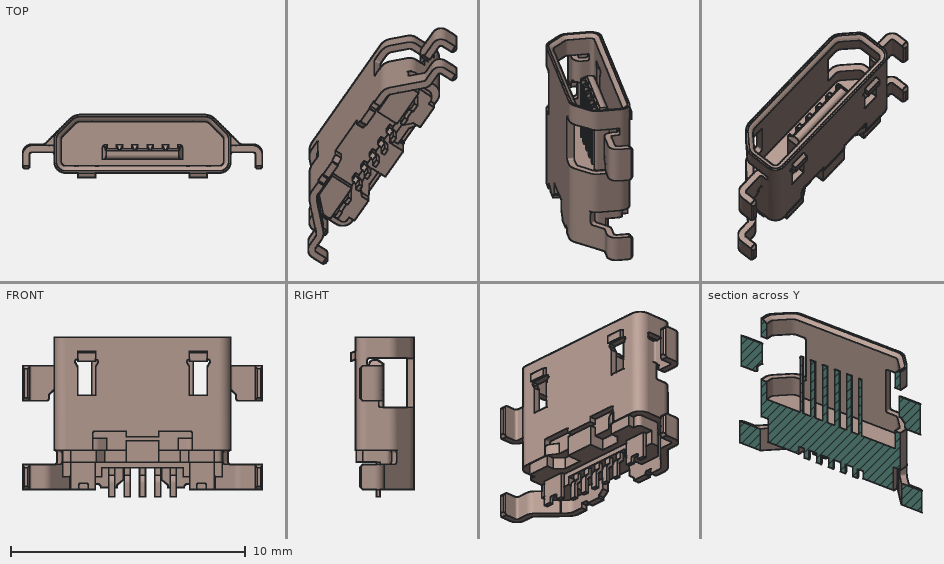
import cadquery as cq
import math

TOTAL_WIDTH = 10.2
TOTAL_HEIGHT = 6.8
SHELL_WIDTH = 7.53
SHELL_DEPTH = 2.5
SHELL_BOTTOM = 2.0
WALL = 0.31
CORNER_RADIUS = 0.5
BACK_CORNER_RADIUS = 0.66
BEVEL_SIDE_Y = 1.63
BACK_WALL_BOTTOM = 0.32

REACH = 2 * TOTAL_WIDTH
EXTRA = 0.1

half_shell = SHELL_WIDTH / 2
half_total = TOTAL_WIDTH / 2
bevel_back_x = half_shell - (SHELL_DEPTH - BEVEL_SIDE_Y)
inner_back_y = SHELL_DEPTH - WALL
outer_sum = half_shell + BEVEL_SIDE_Y
inner_sum = outer_sum - WALL * math.sqrt(2)
bevel_wall_x = bevel_back_x + 2 * EXTRA

RIM_FLAT = 0.09
LIP_MIDDLE_INSET = 0.21
LIP_UPPER_DROP = 0.07
LIP_LOWER_DROP = 0.08

WINDOW_BOTTOM = 3.81
WINDOW_TOP = 5.91
WINDOW_INNER_X = 2.16
WINDOW_FRONT_Y = 0.99
WINDOW_RELIEF_Y = 0.5
WINDOW_RADIUS = 0.09

LEG_THICKNESS = 0.3
LEG_TIP_Y = 0.18
LEG_BEND = 0.11
TIP_SIDE_CHAMFER = 0.07
TIP_END_CHAMFER = 0.13
UPPER_LEG_BOTTOM = 4.09
UPPER_LEG_TOP = 5.59
UPPER_LEG_BACK_Y = 1.18
UPPER_ROOT_BOTTOM = 4.57
UPPER_ROOT_BEND = 0.08
NECK_RUN = 0.21
NECK_RADIUS = 0.11
LOWER_LEG_TOP = 1.39
LOWER_LEG_BACK_Y = 1.23
LOWER_BEND_OUTER = 0.45
NOTCH_Y = 1.75
NOTCH_RADIUS = 0.13

BACK_GAP_HALF = 0.82
BACK_SLOPE_TOP = 0.72
BACK_FOOT_INNER_X = 1.08
BACK_FOOT_OUTER_X = 1.78
BACK_FOOT_BOTTOM = 0.4
BACK_FOOT_STEP = 0.11
BACK_CHAMFER = 0.07
BACK_STEP_X = 2.14

SLOT_X = 2.38
SLOT_WIDTH = 0.75
SLOT_BOTTOM = 4.34
SLOT_TOP = 5.84
EAR_WIDTH = 1.0
EAR_WIDEST_Z = 5.75
EAR_BOTTOM = 5.54
EAR_TAPER = 0.04
BARB_TIP_Y = -0.19
BARB_TIP_TOP = 6.13
BARB_HEIGHT = 0.36
BARB_SLOPE = 0.42

CUTOUT_HALF = 2.11
CUTOUT_TOP = 2.8
CUTOUT_CENTRE_TOP = 2.57
CUTOUT_RADIUS = 0.08

FLOOR_Z = 2.96
FLANGE_BOTTOM = 1.48
FLANGE_FRONT_Y = 0.03
FLANGE_HALF = 3.06
BODY_INSET = 0.37
BODY_FRONT_Y = 0.31
BODY_SHIFT = 0.08
BODY_RADIUS = 0.19
REAR_FRONT_Y = 1.05
REAR_BOTTOM = 0.87
REAR_CENTRE_HALF = 1.73
REAR_CENTRE_BOTTOM = 1.23
RECESS_INNER_HALF = 1.61
RECESS_OUTER_HALF = 1.98
RECESS_DEPTH_Y = 0.74
TAB_HALF = 0.69
TAB_TOP = 2.4
NUB_TOP = 2.5
NUB_INNER_X = 1.52
NUB_BEND_X = 1.87
NUB_BEND_Y = 0.08
NUB_ARC_X = 1.98
NUB_ARC_Y = 0.04
POST_INNER_X = 2.01
POST_FRONT_Y = 0.89
ARCH_X = 2.51
ARCH_WIDTH = 0.41
ARCH_TOP = 0.59
ARCH_RADIUS = 0.09

TONGUE_TOP = 5.83
TONGUE_HALF = 1.7
TONGUE_FRONT_Y = 0.58
TONGUE_BACK_Y = 1.2
TONGUE_FRONT_RADIUS = 0.2
TONGUE_END_RUN = 0.16
TONGUE_END_DROP = 0.27
TONGUE_FLAT_BACK_Y = 0.96
TONGUE_BACK_DROP = 0.17
TONGUE_SIDE_RADIUS = 0.12
GROOVE_Y = 1.03
GROOVE_LEAD = 0.1
CONTACT_COUNT = 5
CONTACT_PITCH = 0.65
GROOVE_WIDTH = 0.39
RIDGE_HALF = 0.02
PIN_WIDTH = 0.27
PIN_THICKNESS = 0.16
PIN_JOG = 0.18
PIN_JOG_TOP = 0.93
PIN_BEND = 0.35


def box(x0, x1, y0, y1, z0, z1):
    return cq.Workplane("XY").box(x1 - x0, y1 - y0, z1 - z0, centered=False).translate((x0, y0, z0))


def mirrored(solid):
    """The solid together with its mirror image across X = 0."""
    return solid.union(solid.mirror("YZ"))


def prism_y(outline_points, y0, y1):
    """A prism along Y over an outline of (x, z) points."""
    return cq.Workplane("XZ", origin=(0, y0, 0)).polyline(outline_points).close().extrude(y0 - y1)


def prism_x(outline_points, half_width):
    """A prism along X, centred on X = 0, over an outline of (y, z) points."""
    return cq.Workplane("YZ").polyline(outline_points).close().extrude(half_width, both=True)


def shell_prism(inset, z0, z1, front_y=None, radius=None):
    """Solid with the bevelled shell outline moved inward by `inset`, or by `front_y` at the front."""
    front = inset if front_y is None else front_y
    corner_shift = inset * math.tan(math.pi / 8)
    side = half_shell - inset
    side_y = BEVEL_SIDE_Y - corner_shift
    back_x = bevel_back_x - corner_shift
    back = SHELL_DEPTH - inset
    points = [(-side, front), (side, front), (side, side_y),
              (back_x, back), (-back_x, back), (-side, side_y)]
    prism = cq.Workplane("XY").workplane(offset=z0).polyline(points).close().extrude(z1 - z0)
    prism = prism.edges("|Z and >Y").fillet(radius or BACK_CORNER_RADIUS - inset)
    front_and_side = cq.selectors.BoxSelector((-REACH, -REACH, -REACH), (REACH, side_y + EXTRA, REACH))
    sharp_edges = prism.edges("|Z").edges(front_and_side)
    return sharp_edges.fillet(radius or CORNER_RADIUS - inset)


def lip_cutter(inset_top, inset_bottom, z_top, drop):
    """Funnel between two inset shell outlines."""
    upper = shell_prism(inset_top, z_top, z_top + EXTRA).faces("<Z").wires().val()
    lower = shell_prism(inset_bottom, z_top - drop, z_top).faces("<Z").wires().val()
    return cq.Workplane(cq.Solid.makeLoft([lower, upper], True))


def shell():
    """Bevelled tube with its lip, and the back wall that continues below it."""
    outer = shell_prism(0, BACK_WALL_BOTTOM, TOTAL_HEIGHT)
    inner = shell_prism(WALL, 0, TOTAL_HEIGHT)
    tube = outer.cut(inner)
    lip_middle = TOTAL_HEIGHT - LIP_UPPER_DROP
    tube = tube.cut(lip_cutter(RIM_FLAT, LIP_MIDDLE_INSET, TOTAL_HEIGHT, LIP_UPPER_DROP))
    tube = tube.cut(lip_cutter(LIP_MIDDLE_INSET, WALL, lip_middle, LIP_LOWER_DROP))
    front_clearance = box(-REACH, REACH, -EXTRA, inner_back_y - WALL, 0, SHELL_BOTTOM)
    side_clearance = mirrored(box(bevel_wall_x, REACH, -EXTRA, SHELL_DEPTH, 0, SHELL_BOTTOM))
    return tube.cut(front_clearance).cut(side_clearance)


def side_window():
    """Window through one side wall, bevel and back wall."""
    window = box(WINDOW_INNER_X, REACH, WINDOW_FRONT_Y, REACH, WINDOW_BOTTOM, WINDOW_TOP)
    window = window.edges("|Y and <X").fillet(WINDOW_RADIUS)
    window = window.edges("|X and <Y and <Z").fillet(WINDOW_RADIUS)
    relief = box(half_shell - WALL, REACH, WINDOW_RELIEF_Y, WINDOW_FRONT_Y + EXTRA, UPPER_LEG_TOP, WINDOW_TOP)
    root = box(half_shell - WALL, REACH, UPPER_LEG_BACK_Y - LEG_THICKNESS - UPPER_ROOT_BEND,
               WINDOW_FRONT_Y + EXTRA, UPPER_ROOT_BOTTOM, WINDOW_TOP)
    relief = relief.edges("|X and <Y").fillet(WINDOW_RADIUS)
    return window.union(relief).union(root)


def bend_edge(solid, x, y, z, radius):
    """Rounds the vertical edge whose middle is at (x, y, z)."""
    return solid.edges(cq.NearestToPointSelector((x, y, z))).fillet(radius)


def finish_tip(leg):
    """Chamfers the free end of a leg, in its thickness and in its height."""
    leg = leg.faces("<Y").edges("|Z").chamfer(TIP_SIDE_CHAMFER)
    return leg.faces("<Y").edges("|X").chamfer(TIP_END_CHAMFER)


def upper_leg():
    """Flap of the side wall, bent outward and then toward the front."""
    back = UPPER_LEG_BACK_Y
    front = back - LEG_THICKNESS
    root_y = front - UPPER_ROOT_BEND
    inner_x = half_shell - WALL
    tip_inner_x = half_total - LEG_THICKNESS
    outline = [(inner_x, root_y - EXTRA), (half_shell, root_y - EXTRA), (half_shell, front),
               (tip_inner_x, front), (tip_inner_x, LEG_TIP_Y), (half_total, LEG_TIP_Y),
               (half_total, back), (inner_x, back)]
    height = UPPER_LEG_TOP - UPPER_LEG_BOTTOM
    leg = cq.Workplane("XY", origin=(0, 0, UPPER_LEG_BOTTOM)).polyline(outline).close().extrude(height)
    middle_z = UPPER_LEG_BOTTOM + height / 2
    leg = bend_edge(leg, half_shell, front, middle_z, UPPER_ROOT_BEND)
    leg = bend_edge(leg, inner_x, back, middle_z, UPPER_ROOT_BEND + LEG_THICKNESS)
    leg = bend_edge(leg, tip_inner_x, front, middle_z, LEG_BEND)
    leg = bend_edge(leg, half_total, back, middle_z, LEG_BEND + LEG_THICKNESS)
    leg = finish_tip(leg)
    neck_x = half_shell + NECK_RUN
    shoulder = (
        cq.Workplane("XZ")
        .moveTo(inner_x - EXTRA, UPPER_LEG_BOTTOM - EXTRA)
        .lineTo(neck_x + NECK_RADIUS, UPPER_LEG_BOTTOM - EXTRA)
        .lineTo(neck_x + NECK_RADIUS, UPPER_LEG_BOTTOM)
        .radiusArc((neck_x, UPPER_LEG_BOTTOM + NECK_RADIUS), NECK_RADIUS)
        .lineTo(neck_x, UPPER_ROOT_BOTTOM - NECK_RUN)
        .lineTo(half_shell, UPPER_ROOT_BOTTOM)
        .lineTo(inner_x - EXTRA, UPPER_ROOT_BOTTOM)
        .close()
        .extrude(-SHELL_DEPTH)
    )
    return leg.cut(shoulder)


def lower_leg():
    """Continuation of the bevel wall, bent outward and then toward the front."""
    back = LOWER_LEG_BACK_Y
    front = back - LEG_THICKNESS
    tip_inner_x = half_total - LEG_THICKNESS
    start_x = bevel_wall_x
    outline = [(start_x, outer_sum - start_x), (outer_sum - back, back), (half_total, back),
               (half_total, LEG_TIP_Y), (tip_inner_x, LEG_TIP_Y), (tip_inner_x, front),
               (inner_sum - front, front), (start_x, inner_sum - start_x)]
    height = LOWER_LEG_TOP - BACK_WALL_BOTTOM
    middle_z = BACK_WALL_BOTTOM + height / 2
    leg = cq.Workplane("XY", origin=(0, 0, BACK_WALL_BOTTOM)).polyline(outline).close().extrude(height)
    leg = bend_edge(leg, outer_sum - back, back, middle_z, LOWER_BEND_OUTER - LEG_THICKNESS)
    leg = bend_edge(leg, inner_sum - front, front, middle_z, LOWER_BEND_OUTER)
    leg = bend_edge(leg, tip_inner_x, front, middle_z, LEG_BEND)
    leg = bend_edge(leg, half_total, back, middle_z, LEG_BEND + LEG_THICKNESS)
    return finish_tip(leg)


def bevel_wall():
    """Piece of bevel wall between the shell and the lower leg, ending in a round-cornered notch."""
    end_x = half_shell + EXTRA
    outline = [(bevel_wall_x, outer_sum - bevel_wall_x), (end_x, outer_sum - end_x),
               (end_x, inner_sum - end_x), (bevel_wall_x, inner_sum - bevel_wall_x)]
    wall = cq.Workplane("XY").polyline(outline).close().extrude(SHELL_BOTTOM - LOWER_LEG_TOP)
    return wall.translate((0, 0, LOWER_LEG_TOP)).cut(bevel_notch())


def bevel_notch():
    """Notch between the shell's lower edge and the lower leg, square to the bevel wall."""
    notch_x = half_shell + BEVEL_SIDE_Y - NOTCH_Y
    size = 2 * CORNER_RADIUS
    height = SHELL_BOTTOM - LOWER_LEG_TOP
    notch = cq.Workplane("XY").box(size, size, height, centered=(False, True, False))
    notch = notch.edges("|Y and <X").fillet(NOTCH_RADIUS)
    return notch.rotate((0, 0, 0), (0, 0, 1), -45).translate((notch_x, NOTCH_Y, LOWER_LEG_TOP))


def back_edge_cutter():
    """Removes the stepped lower edge of the back wall between the posts."""
    shoulder_z = BACK_FOOT_BOTTOM + BACK_FOOT_STEP
    half = [(0, REAR_CENTRE_BOTTOM), (BACK_GAP_HALF, REAR_CENTRE_BOTTOM), (BACK_GAP_HALF, BACK_SLOPE_TOP),
            (BACK_FOOT_INNER_X, shoulder_z), (BACK_FOOT_INNER_X, BACK_FOOT_BOTTOM),
            (BACK_FOOT_OUTER_X, BACK_FOOT_BOTTOM), (BACK_FOOT_OUTER_X, shoulder_z - BACK_CHAMFER / 2),
            (BACK_FOOT_OUTER_X + BACK_CHAMFER, shoulder_z + BACK_CHAMFER / 2),
            (BACK_STEP_X, shoulder_z + BACK_CHAMFER / 2), (BACK_STEP_X, 0), (0, 0)]
    return mirrored(prism_y(half, inner_back_y - EXTRA, SHELL_DEPTH + EXTRA))


def latch_slot():
    """Slot in the front wall, widened by two ears below the barb."""
    right = [(SLOT_WIDTH / 2, SLOT_BOTTOM), (SLOT_WIDTH / 2, EAR_BOTTOM), (EAR_WIDTH / 2, EAR_WIDEST_Z),
             (EAR_WIDTH / 2 - EAR_TAPER, SLOT_TOP)]
    left = [(-x, z) for x, z in reversed(right)]
    return prism_y(right + left, -EXTRA, WALL + EXTRA).translate((SLOT_X, 0, 0))


def barb():
    """Sloping latch barb in front of the front wall."""
    rise = (WALL - BARB_TIP_Y) * BARB_SLOPE
    tip_bottom = BARB_TIP_TOP - BARB_HEIGHT
    outline = [(BARB_TIP_Y, tip_bottom), (BARB_TIP_Y, BARB_TIP_TOP), (WALL, BARB_TIP_TOP + rise),
               (WALL, tip_bottom + rise)]
    return prism_x(outline, SLOT_WIDTH / 2).translate((SLOT_X, 0, 0))


def front_cutout():
    """Cutter for the lower edge of the front wall, lower in the middle than at its ends."""
    wide = box(-CUTOUT_HALF, CUTOUT_HALF, -EXTRA, WALL, 0, CUTOUT_TOP)
    wide = wide.edges("|Y and >Z").fillet(CUTOUT_RADIUS)
    return wide.cut(box(-TAB_HALF, TAB_HALF, -EXTRA, WALL, CUTOUT_CENTRE_TOP, CUTOUT_TOP))


def housing():
    """Moulded block with its recessed flange, centre tab, nubs and posts."""
    inside = shell_prism(WALL, SHELL_BOTTOM, FLOOR_Z)
    lower_front_y = BODY_FRONT_Y + BODY_SHIFT
    lower = shell_prism(BODY_INSET, REAR_BOTTOM, SHELL_BOTTOM, lower_front_y, BODY_RADIUS)
    lower = lower.translate((0, -BODY_SHIFT, 0))
    flange = lower.intersect(box(-REACH, REACH, 0, SHELL_DEPTH, FLANGE_BOTTOM, SHELL_BOTTOM))
    front_bar = box(-FLANGE_HALF, FLANGE_HALF, FLANGE_FRONT_Y, RECESS_DEPTH_Y, FLANGE_BOTTOM, SHELL_BOTTOM)
    flange = flange.union(front_bar)
    rear = lower.intersect(box(-REACH, REACH, REAR_FRONT_Y, SHELL_DEPTH, REAR_BOTTOM, FLANGE_BOTTOM))
    rear = rear.cut(box(-REAR_CENTRE_HALF, REAR_CENTRE_HALF, 0, SHELL_DEPTH, 0, REAR_CENTRE_BOTTOM))
    recess = [(-RECESS_INNER_HALF, RECESS_DEPTH_Y), (RECESS_INNER_HALF, RECESS_DEPTH_Y)]
    slant_y = RECESS_DEPTH_Y - (RECESS_OUTER_HALF - RECESS_INNER_HALF)
    recess += [(RECESS_OUTER_HALF, slant_y), (RECESS_OUTER_HALF, -EXTRA)]
    recess += [(-RECESS_OUTER_HALF, -EXTRA), (-RECESS_OUTER_HALF, slant_y)]
    flange = flange.cut(cq.Workplane("XY").polyline(recess).close().extrude(SHELL_BOTTOM))
    spine_half = bevel_back_x - WALL
    spine = box(-spine_half, spine_half, REAR_FRONT_Y, inner_back_y, REAR_CENTRE_BOTTOM, SHELL_BOTTOM)
    tab = box(-TAB_HALF, TAB_HALF, FLANGE_FRONT_Y, RECESS_DEPTH_Y, FLANGE_BOTTOM, TAB_TOP)
    body = inside.union(flange).union(rear).union(spine).union(tab)
    return body.union(mirrored(nub())).union(mirrored(post()))


def nub():
    """Block that fills the outer end of the front cutout."""
    return (
        cq.Workplane("XY", origin=(0, 0, SHELL_BOTTOM))
        .moveTo(NUB_INNER_X, WALL)
        .lineTo(NUB_BEND_X, NUB_BEND_Y)
        .threePointArc((NUB_ARC_X, NUB_ARC_Y), (CUTOUT_HALF, FLANGE_FRONT_Y))
        .lineTo(CUTOUT_HALF, WALL)
        .close()
        .extrude(NUB_TOP - SHELL_BOTTOM)
    )


def post():
    """Standing foot with an arched notch in its lower edge."""
    foot = box(POST_INNER_X, FLANGE_HALF, POST_FRONT_Y, REAR_FRONT_Y, BACK_WALL_BOTTOM, FLANGE_BOTTOM)
    arch = box(ARCH_X - ARCH_WIDTH / 2, ARCH_X + ARCH_WIDTH / 2, 0, SHELL_DEPTH / 2, 0, ARCH_TOP)
    return foot.cut(arch.edges("|Y and >Z").fillet(ARCH_RADIUS))


def contact_positions():
    middle = (CONTACT_COUNT - 1) / 2
    return [(i - middle) * CONTACT_PITCH for i in range(CONTACT_COUNT)]


def tongue():
    """Tongue with a rounded front edge, sloping ends and contact grooves in its back."""
    blade = box(-TONGUE_HALF, TONGUE_HALF, TONGUE_FRONT_Y, TONGUE_BACK_Y, FLOOR_Z, TONGUE_TOP)
    blade = blade.edges("|Z and >Y").fillet(TONGUE_SIDE_RADIUS)
    side_z = TONGUE_TOP - TONGUE_END_DROP
    top_half = TONGUE_HALF - TONGUE_END_RUN
    ends = [(-TONGUE_HALF, 0), (TONGUE_HALF, 0), (TONGUE_HALF, side_z), (top_half, TONGUE_TOP),
            (-top_half, TONGUE_TOP), (-TONGUE_HALF, side_z)]
    blade = blade.intersect(prism_y(ends, 0, SHELL_DEPTH))
    profile = prism_x([(TONGUE_FRONT_Y, 0), (TONGUE_FRONT_Y, TONGUE_TOP), (TONGUE_FLAT_BACK_Y, TONGUE_TOP),
                       (TONGUE_BACK_Y, TONGUE_TOP - TONGUE_BACK_DROP), (TONGUE_BACK_Y, 0)], TONGUE_HALF)
    profile = profile.edges("|X and <Y and >Z").fillet(TONGUE_FRONT_RADIUS)
    blade = blade.intersect(profile)
    for x in contact_positions():
        blade = blade.cut(contact_groove().translate((x, 0, 0)))
    return blade


def contact_groove():
    """Groove for one contact, flaring toward the tongue tip so that the ribs end in a ridge."""
    half = GROOVE_WIDTH / 2
    flare_z = TONGUE_TOP - TONGUE_BACK_DROP
    flare_half = CONTACT_PITCH / 2 - RIDGE_HALF
    outline = [(-half, FLOOR_Z), (half, FLOOR_Z), (half, flare_z), (flare_half, TONGUE_TOP),
               (-flare_half, TONGUE_TOP), (-half, flare_z)]
    flared = prism_y(outline, TONGUE_FLAT_BACK_Y, SHELL_DEPTH)
    profile = [(TONGUE_FLAT_BACK_Y, TONGUE_TOP), (GROOVE_Y, TONGUE_TOP - GROOVE_LEAD), (GROOVE_Y, FLOOR_Z),
               (SHELL_DEPTH, FLOOR_Z), (SHELL_DEPTH, TONGUE_TOP)]
    return flared.intersect(prism_x(profile, CONTACT_PITCH))


def pin():
    """Solder pin that steps toward the front below the housing."""
    front = POST_FRONT_Y
    upper_front = front + PIN_JOG
    back_drop = PIN_THICKNESS * math.tan(math.pi / 8)
    outline = [(front, 0), (front, PIN_JOG_TOP - PIN_JOG), (upper_front, PIN_JOG_TOP),
               (upper_front, FLANGE_BOTTOM), (upper_front + PIN_THICKNESS, FLANGE_BOTTOM),
               (upper_front + PIN_THICKNESS, PIN_JOG_TOP - back_drop),
               (front + PIN_THICKNESS, PIN_JOG_TOP - PIN_JOG - back_drop), (front + PIN_THICKNESS, 0)]
    body = prism_x(outline, PIN_WIDTH / 2)
    lower_bend = cq.NearestToPointSelector((0, front, PIN_JOG_TOP - PIN_JOG))
    return body.edges(lower_bend).fillet(PIN_BEND)


part = shell().cut(mirrored(side_window()))
part = part.cut(back_edge_cutter())
part = part.cut(mirrored(latch_slot())).cut(front_cutout())
part = part.union(mirrored(barb()))
part = part.union(mirrored(upper_leg())).union(mirrored(lower_leg())).union(mirrored(bevel_wall()))
part = part.union(housing()).union(tongue())
for contact_x in contact_positions():
    part = part.union(pin().translate((contact_x, 0, 0)))
result = part